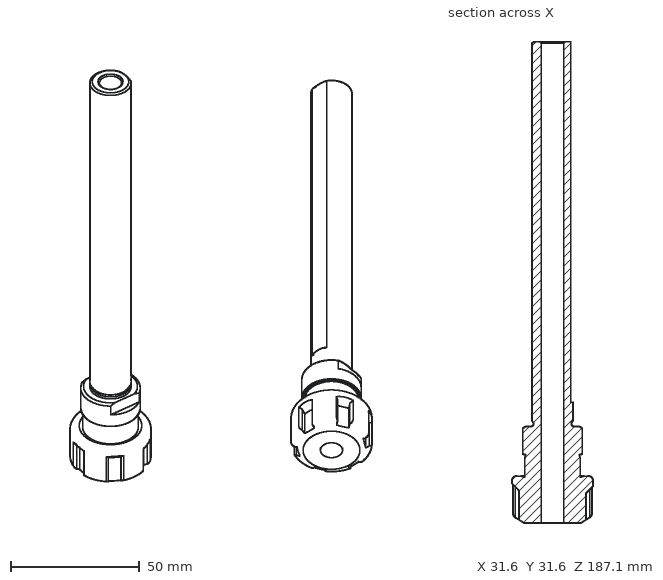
import cadquery as cq
import math

length = 187.1

nut_radius = 31.6 / 2
nut_height = 18.3
nut_top_fillet = 1.9
nut_cone_fillet = 2.0
nut_cone_angle = 30
nut_face_radius = 11.0
nut_cone_height = (nut_radius - nut_face_radius) * math.tan(math.radians(nut_cone_angle))
nut_countersink_radius = 12.2
nut_countersink_depth = 0.5

slot_count = 6
slot_first_angle = 30
slot_width = 5.0
slot_floor_radius = 13.1
slot_floor_top = 12.7
low_slot_drop = 1.1
cutter_overhang = 1.9
slot_mouth_bevel = 1.3
slot_bevel_depth = 1.3

neck_radius = 10.9
neck_taper_start = 25.0
neck_taper = 0.4
collar_radius = 11.6
collar_bottom = 26.5
collar_bottom_chamfer = 0.4
collar_top = 37.6
collar_top_chamfer_width = 1.1
collar_top_chamfer_height = 0.7
collar_flat_width = 18.7
collar_flat_bottom = 32.5

shank_radius = 8.0
shank_bottom = 39.7
undercut_depth = 0.5
shank_chamfer_width = 1.0
shank_chamfer_height = 0.5
shank_flat_depth = 1.0
shank_flat_bottom = 47.0

bore_radius = 4.3
bore_chamfer = 0.5


def turned(points):
    """Solid of revolution about Z from (radius, height) points."""
    return cq.Workplane("XZ").polyline(points).close().revolve(360, (0, 0, 0), (0, 1, 0))


def make_nut():
    """Turned nut with a rounded rim, a rounded lead-in cone and a countersink around the neck."""
    nut = turned([
        (0, 0),
        (nut_face_radius, 0),
        (nut_radius, nut_cone_height),
        (nut_radius, nut_height),
        (0, nut_height),
    ])
    nut = nut.edges(">Z").fillet(nut_top_fillet)
    cone_edge = cq.selectors.NearestToPointSelector((0, 0, nut_cone_height))
    nut = nut.edges("%CIRCLE").edges(cone_edge).fillet(nut_cone_fillet)
    countersink = turned([
        (0, nut_height),
        (nut_countersink_radius, nut_height),
        (neck_radius, nut_height - nut_countersink_depth),
        (0, nut_height - nut_countersink_depth),
    ])
    return nut.cut(countersink)


def make_slot_cutter():
    """Slot facing +X: parallel walls, bevelled mouth and a 45-degree sloping upper end."""
    reach = nut_radius + cutter_overhang
    half_width = slot_width / 2
    bevel_start = nut_radius - slot_bevel_depth
    bevel_slope = slot_mouth_bevel / slot_bevel_depth
    mouth_half_width = half_width + (reach - bevel_start) * bevel_slope
    plan = (
        cq.Workplane("XY")
        .polyline([
            (slot_floor_radius, -half_width),
            (bevel_start, -half_width),
            (reach, -mouth_half_width),
            (reach, mouth_half_width),
            (bevel_start, half_width),
            (slot_floor_radius, half_width),
        ])
        .close()
        .extrude(nut_height)
    )
    side = (
        cq.Workplane("XZ")
        .polyline([
            (slot_floor_radius, 0),
            (reach, 0),
            (reach, slot_floor_top + reach - slot_floor_radius),
            (slot_floor_radius, slot_floor_top),
        ])
        .close()
        .extrude(mouth_half_width, both=True)
    )
    return plan.intersect(side)


def make_shaft():
    """Turned neck, collar, undercut and shank."""
    undercut_radius = shank_radius - undercut_depth
    return turned([
        (0, 0),
        (neck_radius, 0),
        (neck_radius, neck_taper_start),
        (neck_radius - neck_taper, collar_bottom),
        (collar_radius - collar_bottom_chamfer, collar_bottom),
        (collar_radius, collar_bottom + collar_bottom_chamfer),
        (collar_radius, collar_top - collar_top_chamfer_height),
        (collar_radius - collar_top_chamfer_width, collar_top),
        (shank_radius, collar_top),
        (undercut_radius, collar_top + undercut_depth),
        (undercut_radius, shank_bottom - undercut_depth),
        (shank_radius, shank_bottom),
        (shank_radius, length - shank_chamfer_height),
        (shank_radius - shank_chamfer_width, length),
        (0, length),
    ])


def make_collar_flat_cutter(side):
    """Block that mills one wrench flat; side is +1 for +X and -1 for -X."""
    block_size = 2 * collar_radius
    return (
        cq.Workplane("XY")
        .box(block_size, block_size, collar_top - collar_flat_bottom, centered=(True, True, False))
        .translate((side * (collar_flat_width + block_size) / 2, 0, collar_flat_bottom))
    )


def make_shank_flat_cutter():
    """Block that mills the long flat on the +Y side of the shank."""
    block_size = 2 * shank_radius
    return (
        cq.Workplane("XY")
        .box(block_size, block_size, length - shank_flat_bottom, centered=(True, False, False))
        .translate((0, shank_radius - shank_flat_depth, shank_flat_bottom))
    )


def make_bore():
    """Through bore, chamfered at the shank end."""
    return turned([
        (0, 0),
        (bore_radius, 0),
        (bore_radius, length - bore_chamfer),
        (bore_radius + bore_chamfer, length),
        (0, length),
    ])


nut = make_nut()
slot_cutter = make_slot_cutter()
for index in range(slot_count):
    angle = slot_first_angle + index * 360 / slot_count
    drop = low_slot_drop if angle < 180 else 0
    nut = nut.cut(slot_cutter.rotate((0, 0, 0), (0, 0, 1), angle).translate((0, 0, -drop)))

shaft = make_shaft().cut(make_shank_flat_cutter())
for side in (1, -1):
    shaft = shaft.cut(make_collar_flat_cutter(side))

result = nut.union(shaft).cut(make_bore())